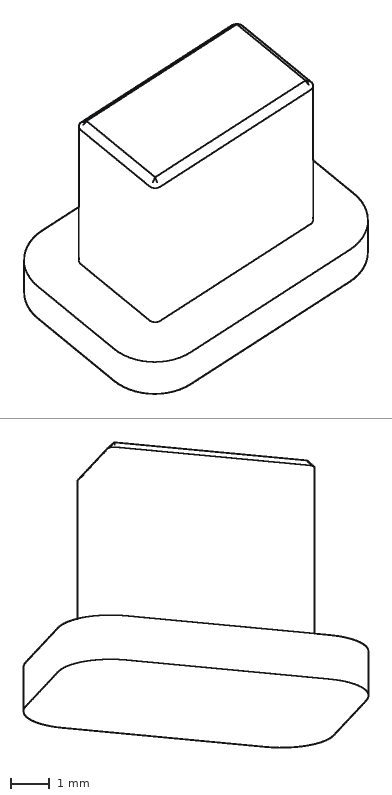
import cadquery as cq

base_width = 5.75
base_length = 8.25
base_thickness = 1.2
base_corner_radius = 1.4

total_height = 6.4
post_width = 3.05
post_length = 5.55
post_height = total_height - base_thickness
post_edge_size = 0.2


def make_base():
    """Flat flange with rounded corners, resting on Z = 0."""
    base = cq.Workplane("XY").rect(base_width, base_length).extrude(base_thickness)
    return base.edges("|Z").fillet(base_corner_radius)


def make_post():
    """Upright block with rounded upright edges and a chamfered top rim."""
    post = (
        cq.Workplane("XY")
        .workplane(offset=base_thickness)
        .rect(post_width, post_length)
        .extrude(post_height)
    )
    post = post.edges("|Z").fillet(post_edge_size)
    return post.faces(">Z").edges().chamfer(post_edge_size)


result = make_base().union(make_post())